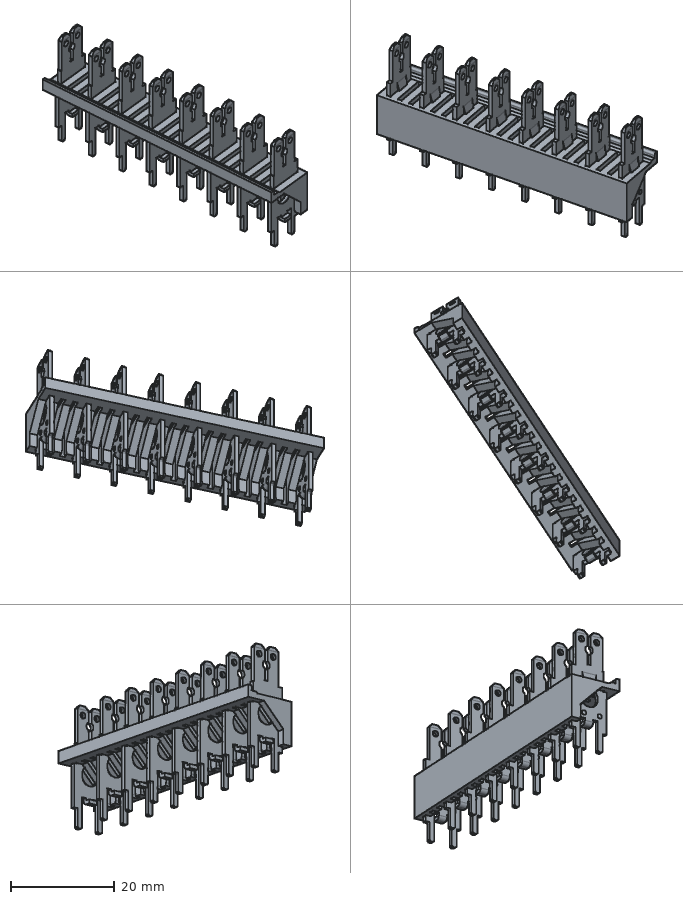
import cadquery as cq
import math

housing_length = 57.46
terminal_count = 8
slots_per_terminal = 3
slot_pitch = 2.54
terminal_pitch = slots_per_terminal * slot_pitch
slot_count = (terminal_count - 1) * slots_per_terminal + 1
first_slot_x = -terminal_pitch * (terminal_count - 1) / 2
end_x = housing_length / 2

housing_back_y = 5.0
housing_depth = 10.9
lip_front_y = housing_back_y - housing_depth
leg_front_y = 2.95
brace_front_y = -1.97
brace_bottom_z = 3.0
plate_bottom_z = 7.87
plate_top_z = 9.0
ledge_top_z = 9.35
lip_top_z = 10.4
lip_thickness = 0.9
lip_back_y = lip_front_y + lip_thickness
lip_round = 0.45
ledge_back_y = -3.45
ledge_slope_run = 0.55

slot_width = 0.9
slot_back_y = 4.0
slot_front_y = ledge_back_y
slot_lead_in = 0.1
slot_lead_in_height = 0.6

terminal_thickness = 0.85
terminal_bottom_z = -5.2
terminal_top_z = 19.8
blade_half_width = 3.1
upper_body_front_y = -3.3
lower_body_front_y = -4.0
upper_shoulder_z = 12.0
front_shoulder_z = 7.75
lower_shoulder_z = -1.2

blade_tip_height = 0.8
blade_tip_thickness = 0.45
blade_tip_corner = 0.75
blade_hole_diameter = 1.2
blade_hole_y = 1.75
blade_hole_z = 17.8
split_width = 0.75
split_bottom_z = 12.7
keyhole_diameter = 1.7
keyhole_z = 15.85
body_hole_diameter = 4.0
body_hole_z = 5.8

pin_inner_y = 2.0
pin_root_z = 1.25
pin_tip_chamfer = 0.25
pin_root_fillet = 0.2

foot_half_width = 0.95
foot_reach = 0.9
foot_bend_radius = 0.8

lance_height = 1.9
lance_projection = 0.4
lance_top_half_width = 1.6
lance_bottom_half_width = 1.4

bump_diameter = 0.95
bump_height = 0.22
bump_z = 2.35
bump_positions_y = (1.15, -2.4)


def x_block(x_center, x_size, y_min, y_max, z_min, z_max):
    """Box centred on x_center with the given Y and Z limits."""
    return (
        cq.Workplane("XY")
        .box(x_size, y_max - y_min, z_max - z_min, centered=(True, False, False))
        .translate((x_center, y_min, z_min))
    )


def x_cylinder(y, z, diameter, length):
    """Cylinder along X, centred on X = 0."""
    return cq.Workplane("YZ").center(y, z).circle(diameter / 2).extrude(length / 2, both=True)


def make_housing_body():
    """Foot, sloping brace, top plate and front lip as one profile along X."""
    arc_inset = lip_round * (1 - math.sqrt(0.5))
    outline = (
        cq.Workplane("YZ")
        .moveTo(housing_back_y, 0)
        .lineTo(housing_back_y, plate_top_z)
        .lineTo(ledge_back_y, plate_top_z)
        .lineTo(ledge_back_y - ledge_slope_run, ledge_top_z)
        .lineTo(lip_back_y, ledge_top_z)
        .lineTo(lip_back_y, lip_top_z - lip_round)
        .threePointArc(
            (lip_back_y - arc_inset, lip_top_z - arc_inset),
            (lip_back_y - lip_round, lip_top_z),
        )
        .lineTo(lip_front_y, lip_top_z)
        .lineTo(lip_front_y, plate_bottom_z)
        .lineTo(brace_front_y, plate_bottom_z)
        .lineTo(leg_front_y, brace_bottom_z)
        .lineTo(leg_front_y, 0)
        .close()
    )
    return outline.extrude(end_x, both=True)


def make_slot_cutter(x):
    """Vertical slot open at the front of the foot, flared at its lower end."""
    slot = x_block(x, slot_width, slot_front_y, slot_back_y, 0, plate_top_z)
    half_slot = slot_width / 2
    half_mouth = half_slot + slot_lead_in
    lead_in = (
        cq.Workplane("XZ", origin=(x, slot_back_y, 0))
        .polyline([
            (-half_mouth, 0),
            (half_mouth, 0),
            (half_slot, slot_lead_in_height),
            (-half_slot, slot_lead_in_height),
        ])
        .close()
        .extrude(slot_back_y - slot_front_y)
    )
    return slot.union(lead_in)


def make_blade_pair():
    """Two tab blades with tips that taper in width and thickness."""
    blade_width = blade_half_width - split_width / 2
    blade_y = (blade_half_width + split_width / 2) / 2
    blade_shoulder_z = terminal_top_z - blade_tip_height
    blades = x_block(
        0, terminal_thickness, -blade_half_width, blade_half_width, upper_shoulder_z, blade_shoulder_z
    )
    for side in (-1, 1):
        tip = (
            cq.Workplane("XY", origin=(0, side * blade_y, blade_shoulder_z))
            .rect(terminal_thickness, blade_width)
            .workplane(offset=blade_tip_height)
            .rect(blade_tip_thickness, blade_width - 2 * blade_tip_corner)
            .loft(combine=True)
        )
        blades = blades.union(tip)
    return blades


def make_plate_body():
    """Flat stamped body from the upper shoulders down to the lower shoulders."""
    upper = x_block(
        0, terminal_thickness, upper_body_front_y, slot_back_y, front_shoulder_z, upper_shoulder_z
    )
    lower = x_block(
        0, terminal_thickness, lower_body_front_y, slot_back_y, lower_shoulder_z, front_shoulder_z
    )
    pin_gap = x_block(
        0, terminal_thickness, -pin_inner_y, pin_inner_y, lower_shoulder_z, pin_root_z
    )
    return upper.union(lower).cut(pin_gap)


def make_pin(side):
    """Solder pin below the lower shoulder with a tip chamfered across its width."""
    y_min, y_max = sorted((side * pin_inner_y, side * blade_half_width))
    pin = x_block(0, terminal_thickness, y_min, y_max, terminal_bottom_z, lower_shoulder_z)
    return pin.faces("<Z").edges("|X").chamfer(pin_tip_chamfer)


def make_pin_root(side):
    """Concave fillet between the outer edge of a pin and the lower shoulder."""
    pin_edge_y = side * blade_half_width
    fillet_end_y = pin_edge_y + side * pin_root_fillet
    fillet_end_z = lower_shoulder_z - pin_root_fillet
    arc_inset = pin_root_fillet * (1 - math.sqrt(0.5))
    return (
        cq.Workplane("YZ")
        .moveTo(pin_edge_y, lower_shoulder_z)
        .lineTo(fillet_end_y, lower_shoulder_z)
        .threePointArc(
            (pin_edge_y + side * arc_inset, lower_shoulder_z - arc_inset),
            (pin_edge_y, fillet_end_z),
        )
        .close()
        .extrude(terminal_thickness / 2, both=True)
    )


def make_foot():
    """Tongue between the pins, bent toward +X at its lower end."""
    half_thickness = terminal_thickness / 2
    arc_inset = foot_bend_radius * (1 - math.sqrt(0.5))
    return (
        cq.Workplane("XZ")
        .moveTo(-half_thickness, pin_root_z)
        .lineTo(-half_thickness, foot_bend_radius)
        .threePointArc(
            (-half_thickness + arc_inset, arc_inset),
            (-half_thickness + foot_bend_radius, 0),
        )
        .lineTo(half_thickness + foot_reach, 0)
        .lineTo(half_thickness + foot_reach, foot_bend_radius)
        .lineTo(half_thickness, foot_bend_radius)
        .lineTo(half_thickness, pin_root_z)
        .close()
        .extrude(foot_half_width, both=True)
    )


def make_lance():
    """Wedge on the -X face: flush at its top, resting on the housing plate at its bottom."""
    face_x = -terminal_thickness / 2
    outline = (
        cq.Workplane("YZ", origin=(face_x, 0, plate_top_z))
        .polyline([
            (-lance_bottom_half_width, 0),
            (lance_bottom_half_width, 0),
            (lance_top_half_width, lance_height),
            (-lance_top_half_width, lance_height),
        ])
        .close()
        .extrude(-lance_projection)
    )
    slope = (
        cq.Workplane("XZ")
        .polyline([
            (face_x, plate_top_z),
            (face_x - lance_projection, plate_top_z),
            (face_x, plate_top_z + lance_height),
        ])
        .close()
        .extrude(lance_top_half_width, both=True)
    )
    return outline.intersect(slope)


def make_bump(y):
    """Spherical cap standing on the -X face."""
    face_x = -terminal_thickness / 2
    rim_radius = bump_diameter / 2
    sphere_radius = (rim_radius ** 2 + bump_height ** 2) / (2 * bump_height)
    apex_x = face_x - bump_height
    arc_mid_reach = rim_radius / 2
    arc_mid_x = apex_x + sphere_radius - math.sqrt(sphere_radius ** 2 - arc_mid_reach ** 2)
    return (
        cq.Workplane("XY", origin=(0, y, bump_z))
        .moveTo(apex_x, 0)
        .threePointArc((arc_mid_x, arc_mid_reach), (face_x, rim_radius))
        .lineTo(face_x, 0)
        .close()
        .revolve(360, (0, 0, 0), (1, 0, 0))
    )


def make_terminal():
    """Complete terminal centred on X = 0."""
    terminal = make_plate_body().union(make_blade_pair()).union(make_foot()).union(make_lance())
    for side in (-1, 1):
        terminal = terminal.union(make_pin(side)).union(make_pin_root(side))
        terminal = terminal.cut(
            x_cylinder(side * blade_hole_y, blade_hole_z, blade_hole_diameter, terminal_thickness)
        )
    for y in bump_positions_y:
        terminal = terminal.union(make_bump(y))
    split = x_block(
        0, terminal_thickness, -split_width / 2, split_width / 2, split_bottom_z, terminal_top_z
    )
    keyhole = x_cylinder(0, keyhole_z, keyhole_diameter, terminal_thickness)
    body_hole = x_cylinder(0, body_hole_z, body_hole_diameter, terminal_thickness)
    return terminal.cut(split).cut(keyhole).cut(body_hole)


result = make_housing_body()
for slot_index in range(slot_count):
    result = result.cut(make_slot_cutter(first_slot_x + slot_index * slot_pitch))

single_terminal = make_terminal()
for terminal_index in range(terminal_count):
    terminal_x = first_slot_x + terminal_index * terminal_pitch
    result = result.union(single_terminal.translate((terminal_x, 0, 0)))